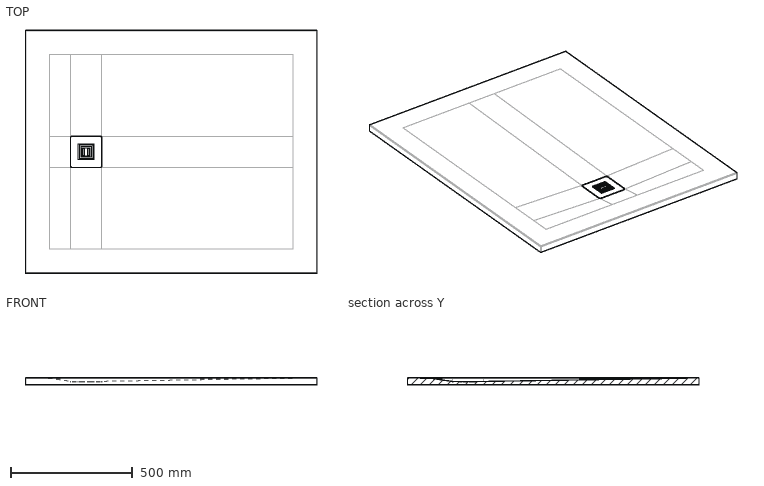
import cadquery as cq

LENGTH = 1200.0
WIDTH = 1000.0
HEIGHT = 29.99
EDGE_RADIUS = 3.0

RIM_WIDTH = 100.0
RIM_FALL = 2.5
FLOOR_LENGTH = LENGTH - 2 * RIM_WIDTH
FLOOR_WIDTH = WIDTH - 2 * RIM_WIDTH
FLOOR_EDGE_Z = HEIGHT - RIM_FALL

DRAIN_X = -350.0
DRAIN_SIZE = 128.0
FLOOR_FALL = 12.5
DRAIN_Z = FLOOR_EDGE_Z - FLOOR_FALL

GAP_WIDTH = 1.0
GAP_DEPTH = 2.0
GAP_CORNER_RADIUS = 8.0

GROOVE_WIDTH = 5.0
GROOVE_DEPTH = 2.0
SQUARE_GROOVE_SIZES = (65.0, 43.0)
STRAIGHT_GROOVE_LENGTH = 29.0
STRAIGHT_GROOVE_SPACING = 18.5


def tray_blank():
    """Plain slab with rounded upright corners and a rounded top edge."""
    return (
        cq.Workplane("XY")
        .box(LENGTH, WIDTH, HEIGHT, centered=(True, True, False))
        .edges("|Z or >Z")
        .fillet(EDGE_RADIUS)
    )


def flat_face(*corners):
    return cq.Face.makeFromWires(cq.Wire.makePolygon(corners, close=True))


def twisted_face(first_line, second_line):
    """Ruled face between two lines that need not lie in one plane."""
    return cq.Face.makeRuledSurface(cq.Edge.makeLine(*first_line), cq.Edge.makeLine(*second_line))


def rectangle_corners(length, width, z):
    """Corners in order around the rectangle centred on the tray."""
    x = length / 2
    y = width / 2
    return [cq.Vector(-x, -y, z), cq.Vector(x, -y, z), cq.Vector(x, y, z), cq.Vector(-x, y, z)]


def rim_face(outer, inner):
    """One straight-sided ring between two rectangles, folded along the mitres at the corners."""
    rings = [corners + corners[:1] for corners in (outer, inner)]
    return cq.Face.makeSplineApprox(rings, minDeg=1, maxDeg=1)


def floor_faces():
    """Flat drain square, four flat channels rising from its sides and four twisted corner areas."""
    drain_half = DRAIN_SIZE / 2
    drain_left = DRAIN_X - drain_half
    drain_right = DRAIN_X + drain_half
    floor_x = FLOOR_LENGTH / 2
    floor_y = FLOOR_WIDTH / 2

    def drain_point(x, side):
        return cq.Vector(x, side * drain_half, DRAIN_Z)

    def edge_point(x, y):
        return cq.Vector(x, y, FLOOR_EDGE_Z)

    faces = [
        flat_face(
            drain_point(drain_left, -1),
            drain_point(drain_right, -1),
            drain_point(drain_right, 1),
            drain_point(drain_left, 1),
        )
    ]
    for end_x, drain_x in ((-floor_x, drain_left), (floor_x, drain_right)):
        faces.append(
            flat_face(
                drain_point(drain_x, -1),
                drain_point(drain_x, 1),
                edge_point(end_x, drain_half),
                edge_point(end_x, -drain_half),
            )
        )
        for side in (-1, 1):
            channel_edge = (drain_point(drain_x, side), edge_point(end_x, side * drain_half))
            rim_edge = (edge_point(drain_x, side * floor_y), edge_point(end_x, side * floor_y))
            faces.append(twisted_face(channel_edge, rim_edge))
    for side in (-1, 1):
        faces.append(
            flat_face(
                drain_point(drain_left, side),
                drain_point(drain_right, side),
                edge_point(drain_right, side * floor_y),
                edge_point(drain_left, side * floor_y),
            )
        )
    return faces


def basin():
    """Volume above the rim and the floor, closed by a flat top."""
    outer = rectangle_corners(LENGTH - 2 * EDGE_RADIUS, WIDTH - 2 * EDGE_RADIUS, HEIGHT)
    inner = rectangle_corners(FLOOR_LENGTH, FLOOR_WIDTH, FLOOR_EDGE_Z)
    faces = [flat_face(*outer), rim_face(outer, inner)] + floor_faces()
    return cq.Workplane(cq.Solid.makeSolid(cq.Shell.makeShell(faces)))


def square_block(size, bottom_z):
    """Square block over the drain, from the given height to the top of the tray."""
    return (
        cq.Workplane("XY", origin=(DRAIN_X, 0, bottom_z))
        .rect(size, size)
        .extrude(HEIGHT - bottom_z)
    )


def cover_gap():
    """Even gap around the round-cornered drain cover."""
    bottom_z = DRAIN_Z - GAP_DEPTH
    recess = square_block(DRAIN_SIZE + 2 * GAP_WIDTH, bottom_z).edges("|Z").fillet(GAP_CORNER_RADIUS)
    cover = square_block(DRAIN_SIZE, bottom_z).edges("|Z").fillet(GAP_CORNER_RADIUS - GAP_WIDTH)
    return recess.cut(cover)


def cover_grooves():
    bottom_z = DRAIN_Z - GROOVE_DEPTH
    grooves = (
        cq.Workplane("XY", origin=(DRAIN_X, 0, bottom_z))
        .rarray(STRAIGHT_GROOVE_SPACING, 1, 2, 1)
        .rect(GROOVE_WIDTH, STRAIGHT_GROOVE_LENGTH)
        .extrude(HEIGHT - bottom_z)
    )
    for size in SQUARE_GROOVE_SIZES:
        ring = square_block(size, bottom_z).cut(square_block(size - 2 * GROOVE_WIDTH, bottom_z))
        grooves = grooves.union(ring)
    return grooves


result = tray_blank().cut(basin()).cut(cover_gap()).cut(cover_grooves())